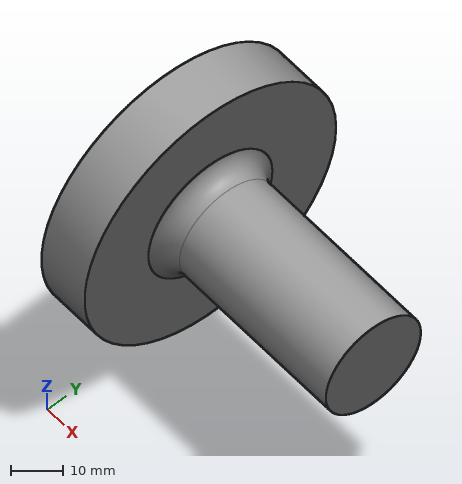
import cadquery as cq
import math

flange_radius = 63.5 / 2
flange_thickness = 12.7
shaft_radius = 24.0 / 2
overall_length = 60.5

root_arc_radius = 5.0
root_length = 4.8

arc_end_x = flange_thickness + root_length
arc_centre_r = shaft_radius + root_arc_radius
root_start_angle = math.asin(root_length / root_arc_radius)
root_start_r = arc_centre_r - root_arc_radius * math.cos(root_start_angle)
arc_middle = (
    arc_end_x - root_arc_radius * math.sin(root_start_angle / 2),
    arc_centre_r - root_arc_radius * math.cos(root_start_angle / 2),
)

result = (
    cq.Workplane("XY")
    .lineTo(0, flange_radius)
    .lineTo(flange_thickness, flange_radius)
    .lineTo(flange_thickness, root_start_r)
    .threePointArc(arc_middle, (arc_end_x, shaft_radius))
    .lineTo(overall_length, shaft_radius)
    .lineTo(overall_length, 0)
    .close()
    .revolve(360, (0, 0, 0), (1, 0, 0))
)